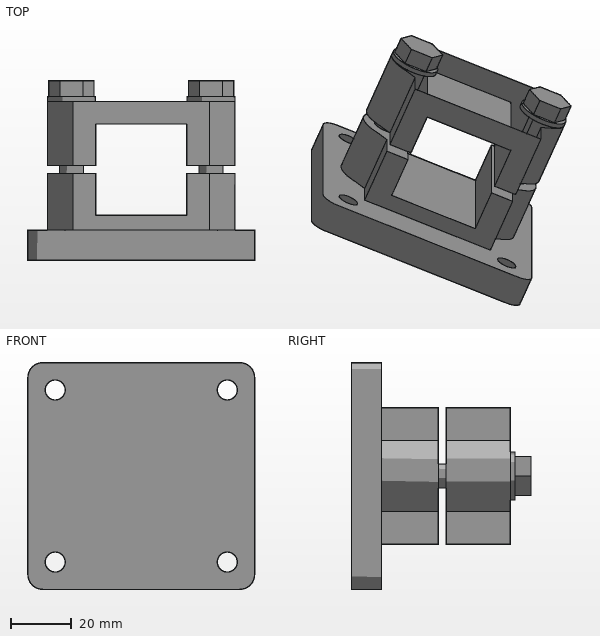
import cadquery as cq

plate_side = 75.0
plate_thickness = 10.0
plate_corner_radius = 5.0
mount_hole_diameter = 6.5
mount_hole_spacing = 56.85

window_side = 30.0
window_start = 15.0
gap = 2.55
clamp_back = 52.6
clamp_width = 45.15
clamp_height = 45.15

lobe_reach = 31.05
flank_start_height = 11.7
flank_end_x = 26.0
flank_end_height = 8.6

bolt_diameter = 8.0
washer_diameter = 16.0
washer_thickness = 1.5
head_corner_diameter = 15.0
total_depth = 59.4
bolt_x = lobe_reach - washer_diameter / 2

window_middle = window_start + window_side / 2
washer_back = clamp_back + washer_thickness


def plane_at(y):
    """Sketch plane facing +Y with local x along +X and local y along -Z."""
    return cq.Workplane(cq.Plane(origin=(0, y, 0), xDir=(1, 0, 0), normal=(0, 1, 0)))


def make_plate():
    plate = plane_at(0).rect(plate_side, plate_side).extrude(plate_thickness)
    plate = plate.edges("|Y").fillet(plate_corner_radius)
    holes = (
        plane_at(0)
        .rect(mount_hole_spacing, mount_hole_spacing, forConstruction=True)
        .vertices()
        .circle(mount_hole_diameter / 2)
        .extrude(plate_thickness)
    )
    return plate.cut(holes)


def make_clamp():
    depth = clamp_back - plate_thickness
    half_width = clamp_width / 2
    clamp = plane_at(plate_thickness).rect(clamp_width, clamp_height).extrude(depth)
    for side in (-1, 1):
        lobe = (
            plane_at(plate_thickness)
            .moveTo(0, flank_start_height)
            .lineTo(side * half_width, flank_start_height)
            .lineTo(side * flank_end_x, flank_end_height)
            .threePointArc((side * lobe_reach, 0), (side * flank_end_x, -flank_end_height))
            .lineTo(side * half_width, -flank_start_height)
            .lineTo(0, -flank_start_height)
            .close()
            .extrude(depth)
        )
        clamp = clamp.union(lobe)

    window = cq.Workplane("XY").box(window_side, window_side, clamp_height)
    split = cq.Workplane("XY").box(2 * lobe_reach, gap, clamp_height)
    opening = window.union(split).translate((0, window_middle, 0))
    return clamp.cut(opening)


def make_bolt(x):
    shank = plane_at(plate_thickness).center(x, 0).circle(bolt_diameter / 2)
    washer = plane_at(clamp_back).center(x, 0).circle(washer_diameter / 2)
    head = plane_at(washer_back).center(x, 0).polygon(6, head_corner_diameter)
    return (
        shank.extrude(clamp_back - plate_thickness)
        .union(washer.extrude(washer_thickness))
        .union(head.extrude(total_depth - washer_back))
    )


result = make_plate().union(make_clamp())
for bolt_side in (-1, 1):
    result = result.union(make_bolt(bolt_side * bolt_x))